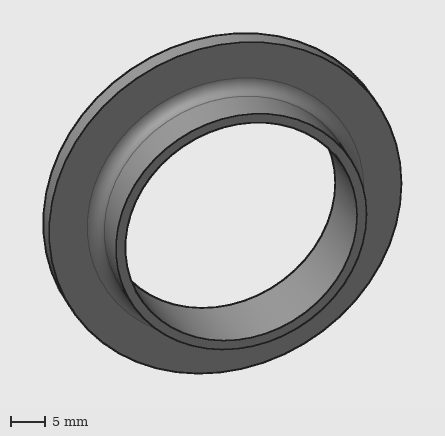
import cadquery as cq
import math

flange_diameter = 54.0
flange_thickness = 3.0
collar_diameter = 38.4
bore_diameter = 35.5
total_length = 11.0
root_fillet_radius = 2.0

flange_radius = flange_diameter / 2
collar_radius = collar_diameter / 2
bore_radius = bore_diameter / 2

fillet_center_x = flange_thickness + root_fillet_radius
fillet_center_y = collar_radius + root_fillet_radius
diagonal_offset = root_fillet_radius * math.sqrt(0.5)
fillet_start = (flange_thickness, fillet_center_y)
fillet_middle = (fillet_center_x - diagonal_offset, fillet_center_y - diagonal_offset)
fillet_end = (fillet_center_x, collar_radius)

half_section = (
    cq.Workplane("XY")
    .moveTo(0, bore_radius)
    .lineTo(0, flange_radius)
    .lineTo(flange_thickness, flange_radius)
    .lineTo(*fillet_start)
    .threePointArc(fillet_middle, fillet_end)
    .lineTo(total_length, collar_radius)
    .lineTo(total_length, bore_radius)
    .close()
)

result = half_section.revolve(360, (0, 0, 0), (1, 0, 0))